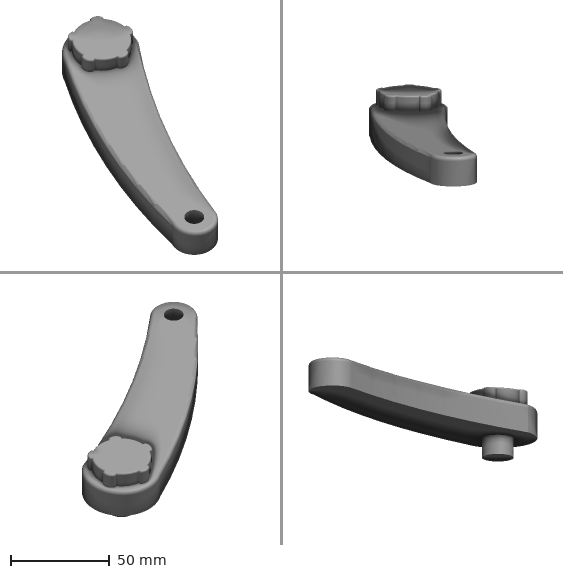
import cadquery as cq

ARM_LENGTH = 130.0
ARM_THICKNESS = 15.0
HUB_RADIUS = 20.0
TIP_RADIUS = 12.0
CONCAVE_FLANK_RADIUS = 360.0
CONVEX_FLANK_RADIUS = 320.0
ARM_EDGE_FILLET = 2.0

HOLE_DIAMETER = 10.0
HOLE_DEPTH = 10.0

STEM_DIAMETER = 16.0
STEM_LENGTH = 10.0

KNOB_HEIGHT = 8.0
KNOB_RADIUS = 15.0
KNOB_EDGE_FILLET = 1.0
LOBE_COUNT = 5
LOBE_FIRST_ANGLE = 24.0
LOBE_HALF_WIDTH = 3.4
LOBE_SHOULDER = 15.7
LOBE_REACH = 17.2


def make_blade():
    """Wide end and both flanks, cut square where the narrow end begins."""
    blade = (
        cq.Workplane("XY")
        .moveTo(0, HUB_RADIUS)
        .threePointArc((-HUB_RADIUS, 0), (0, -HUB_RADIUS))
        .radiusArc((ARM_LENGTH, -TIP_RADIUS), -CONVEX_FLANK_RADIUS)
        .lineTo(ARM_LENGTH, TIP_RADIUS)
        .radiusArc((0, HUB_RADIUS), CONCAVE_FLANK_RADIUS)
        .close()
        .extrude(ARM_THICKNESS)
    )
    return blade.faces(">Z").edges("not >X").fillet(ARM_EDGE_FILLET)


def make_tip():
    """Half-round narrow end."""
    tip = (
        cq.Workplane("XY")
        .moveTo(ARM_LENGTH, -TIP_RADIUS)
        .threePointArc((ARM_LENGTH + TIP_RADIUS, 0), (ARM_LENGTH, TIP_RADIUS))
        .close()
        .extrude(ARM_THICKNESS)
    )
    return tip.faces(">Z").edges(">X").fillet(ARM_EDGE_FILLET)


def make_lobe(angle):
    lobe = (
        cq.Workplane("XY")
        .moveTo(0, -LOBE_HALF_WIDTH)
        .lineTo(LOBE_SHOULDER, -LOBE_HALF_WIDTH)
        .threePointArc((LOBE_REACH, 0), (LOBE_SHOULDER, LOBE_HALF_WIDTH))
        .lineTo(0, LOBE_HALF_WIDTH)
        .close()
        .extrude(KNOB_HEIGHT)
    )
    return lobe.rotate((0, 0, 0), (0, 0, 1), angle)


def make_knob():
    knob = cq.Workplane("XY").circle(KNOB_RADIUS).extrude(KNOB_HEIGHT)
    for index in range(LOBE_COUNT):
        knob = knob.union(make_lobe(LOBE_FIRST_ANGLE + index * 360 / LOBE_COUNT))
    knob = knob.faces(">Z").edges().fillet(KNOB_EDGE_FILLET)
    return knob.translate((0, 0, ARM_THICKNESS))


def make_stem():
    return cq.Workplane("XY").circle(STEM_DIAMETER / 2).extrude(-STEM_LENGTH)


def make_hole():
    return (
        cq.Workplane("XY", origin=(ARM_LENGTH, 0, ARM_THICKNESS))
        .circle(HOLE_DIAMETER / 2)
        .extrude(-HOLE_DEPTH)
    )


arm = make_blade().union(make_tip()).cut(make_hole())
result = arm.union(make_knob()).union(make_stem())